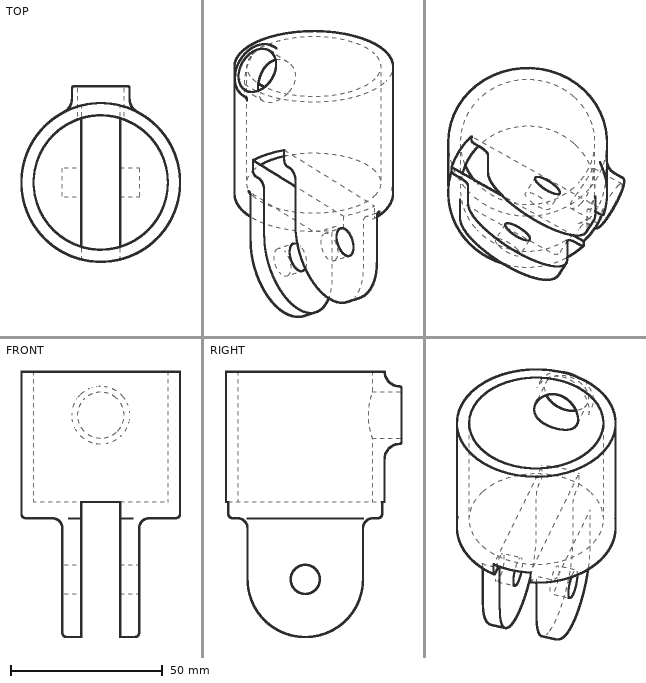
import cadquery as cq


socket_diameter = 52.32
bore_diameter = 44.2
socket_length = 48.26
socket_bottom = 20.07
socket_top = socket_bottom + socket_length
socket_edge_radius = 1.5875

lug_width = 38.1
lug_radius = lug_width / 2
clevis_thickness = 25.4
slot_width = 12.7
slot_top = 25.4
pin_diameter = 9.525
lug_edge_radius = 1.5875
lug_root_radius = 3.175

boss_diameter = 19.05
boss_reach = 31.75
boss_drop = 14.2875
boss_height = socket_top - boss_drop
boss_edge_radius = 0.79
boss_root_radius = 4.75
screw_diameter = 15.24

margin = 0.1

bore_floor = slot_top


def make_socket():
    """Solid cylinder of the socket with a rounded lower rim."""
    base = cq.Workplane("XY", origin=(0, 0, socket_bottom))
    socket = base.circle(socket_diameter / 2).extrude(socket_length)
    return socket.faces("<Z").edges().fillet(socket_edge_radius)


def make_clevis():
    """Round-ended tongue with rounded outer edges, later slotted into two lugs."""
    tongue = (
        cq.Workplane("YZ", origin=(-clevis_thickness / 2, 0, 0))
        .moveTo(-lug_radius, socket_bottom)
        .lineTo(-lug_radius, 0)
        .threePointArc((0, -lug_radius), (lug_radius, 0))
        .lineTo(lug_radius, socket_bottom)
        .close()
        .extrude(clevis_thickness)
    )
    profile_edges = tongue.faces("<X or >X").edges("not >Z")
    return profile_edges.fillet(lug_edge_radius)


def make_boss():
    """Boss cylinder running from the socket axis out to its rounded end."""
    base = cq.Workplane("XZ", origin=(0, 0, boss_height))
    boss = base.circle(boss_diameter / 2).extrude(-boss_reach)
    return boss.faces(">Y").edges().fillet(boss_edge_radius)


def edges_inside(body, half_x, half_y, z_low, z_high):
    """Edges lying wholly inside a box centred on the socket axis."""
    low = (-half_x, -half_y, z_low)
    high = (half_x, half_y, z_high)
    return body.edges(cq.selectors.BoxSelector(low, high, boundingbox=True))


def join_clevis(body):
    """Join the clevis and blend its root into the socket's underside."""
    body = body.union(make_clevis())
    root_edges = edges_inside(
        body,
        clevis_thickness / 2 + margin,
        lug_radius + margin,
        socket_bottom - margin,
        socket_bottom + margin,
    )
    return root_edges.fillet(lug_root_radius)


def join_boss(body):
    """Join the boss and blend its root into the socket wall."""
    body = body.union(make_boss())
    boss_radius = boss_diameter / 2
    root_edges = edges_inside(
        body,
        boss_radius + margin,
        socket_diameter / 2 + margin,
        boss_height - boss_radius - margin,
        boss_height + boss_radius + margin,
    )
    return root_edges.fillet(boss_root_radius)


def cut_openings(body):
    """Cut the bore, clevis slot, pin hole and set-screw hole."""
    bore = (
        cq.Workplane("XY", origin=(0, 0, bore_floor))
        .circle(bore_diameter / 2)
        .extrude(socket_top - bore_floor)
    )
    slot = cq.Workplane("XY").box(slot_width, socket_diameter, slot_top + lug_radius)
    slot = slot.translate((0, 0, (slot_top - lug_radius) / 2))
    pin_hole = cq.Workplane("YZ").circle(pin_diameter / 2).extrude(clevis_thickness / 2, both=True)
    screw_hole = cq.Workplane("XZ", origin=(0, 0, boss_height)).circle(screw_diameter / 2).extrude(-boss_reach)
    return body.cut(bore).cut(slot).cut(pin_hole).cut(screw_hole)


body = make_socket()
body = join_clevis(body)
body = join_boss(body)
result = cut_openings(body)